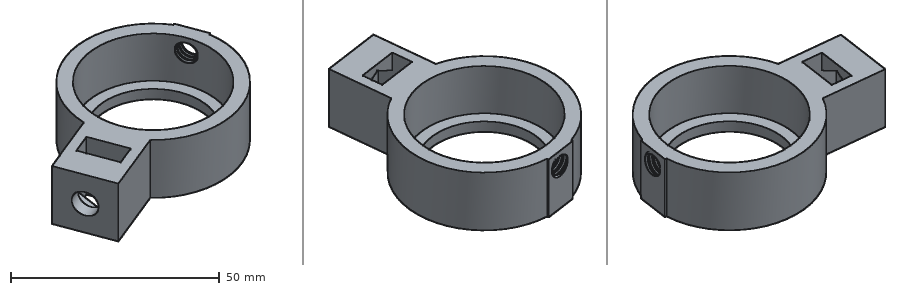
import cadquery as cq
import math

ring_diameter = 46.5
ring_radius = ring_diameter / 2
height = 17.4
pocket_diameter = 38.5
opening_diameter = 32.1
lip_height = 3.2

overall_length = 63.8
arm_width = height
arm_end_y = ring_radius - overall_length

pad_width = 9.45

slot_width = 11.6
slot_length = 6.0
slot_front_y = -32.5
slot_back_y = slot_front_y + slot_length

bolt_hole_diameter = 7
bolt_hole_depth = 3.7
bolt_axis_z = height / 2
nut_across_flats = slot_width

thread_minor_diameter = 5.55
thread_major_diameter = 6.6
thread_pitch = 1.3
thread_axis_z = 12.95
groove_mouth_width = 0.95
groove_floor_width = 0.1


def box_along_y(width, y_start, y_end):
    """Full-height block centred on X = 0 between two Y positions."""
    length = y_end - y_start
    return cq.Workplane("XY").center(0, y_start + length / 2).rect(width, length).extrude(height)


def plane_facing_arm_end(y, z):
    """Workplane across the Y axis whose extrusions run toward the arm's end (-Y)."""
    return cq.Workplane("XZ", origin=(0, y, z))


def thread_cutter(y_start, y_end):
    """Round bore along Y with a tapered groove wound around it."""
    minor_radius = thread_minor_diameter / 2
    major_radius = thread_major_diameter / 2
    overlap = 0.05
    length = y_end - y_start
    groove_section = [
        (minor_radius - overlap, -groove_mouth_width / 2),
        (major_radius, -groove_floor_width / 2),
        (major_radius, groove_floor_width / 2),
        (minor_radius - overlap, groove_mouth_width / 2),
    ]
    helix = cq.Wire.makeHelix(thread_pitch, length, minor_radius)
    groove = cq.Workplane("XZ").polyline(groove_section).close().sweep(cq.Workplane(obj=helix), isFrenet=True)
    bore = cq.Workplane("XY").circle(minor_radius).extrude(length)
    upright = bore.union(groove)
    return upright.rotate((0, 0, 0), (1, 0, 0), -90).translate((0, y_start, thread_axis_z))


body = cq.Workplane("XY").circle(ring_radius).extrude(height)
body = body.union(box_along_y(arm_width, arm_end_y, 0))
body = body.union(box_along_y(pad_width, 0, ring_radius))

pocket = cq.Workplane("XY", origin=(0, 0, lip_height)).circle(pocket_diameter / 2).extrude(height)
opening = cq.Workplane("XY").circle(opening_diameter / 2).extrude(height)
body = body.cut(pocket).cut(opening)

body = body.cut(box_along_y(slot_width, slot_front_y, slot_back_y))

bolt_hole_end_y = arm_end_y + bolt_hole_depth
bolt_hole = (
    plane_facing_arm_end(bolt_hole_end_y, bolt_axis_z)
    .circle(bolt_hole_diameter / 2)
    .extrude(bolt_hole_depth)
)
nut_across_corners = nut_across_flats / math.cos(math.radians(30))
nut_seat = (
    plane_facing_arm_end(slot_front_y, bolt_axis_z)
    .transformed(rotate=(0, 0, 30))
    .polygon(6, nut_across_corners)
    .extrude(slot_front_y - bolt_hole_end_y)
)
body = body.cut(bolt_hole).cut(nut_seat)

thread_start_y = pocket_diameter / 2 - 2 * thread_pitch
thread_end_y = ring_radius + 2 * thread_pitch
body = body.cut(thread_cutter(thread_start_y, thread_end_y))

result = body